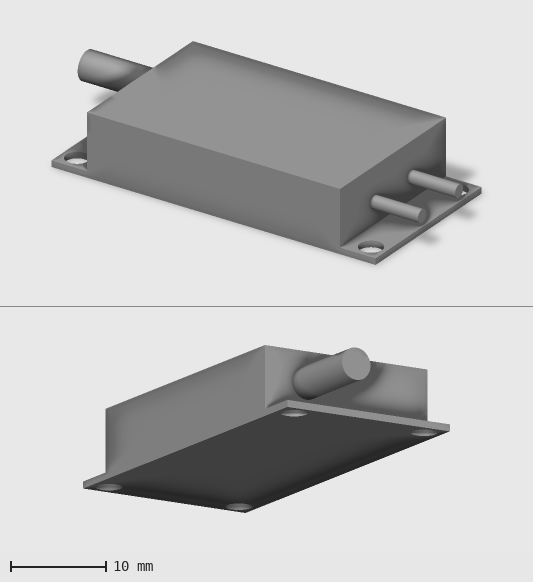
import cadquery as cq

plate_length = 41.0
width = 20.0
plate_thickness = 0.75

hole_diameter = 2.8
hole_spacing_x = 37.15
hole_spacing_y = 16.0

housing_length = 32.0
total_height = 7.7
housing_end = housing_length / 2

overall_length = 48.0
sleeve_length = 10.0
sleeve_diameter = 3.5
sleeve_y = 4.9
sleeve_z = 4.2

pin_length = overall_length - housing_length - sleeve_length
pin_diameter = 1.55
pin_spacing = 7.0
pin_z = 3.45


def rod(start_x, length, diameter, y, z):
    """Round rod running along +X from start_x."""
    section = cq.Workplane("YZ", origin=(start_x, y, z)).circle(diameter / 2)
    return section.extrude(length)


plate = (
    cq.Workplane("XY")
    .rect(plate_length, width)
    .extrude(plate_thickness)
    .faces(">Z")
    .workplane()
    .rect(hole_spacing_x, hole_spacing_y, forConstruction=True)
    .vertices()
    .hole(hole_diameter)
)

housing = cq.Workplane("XY").rect(housing_length, width).extrude(total_height)

sleeve = rod(-housing_end - sleeve_length, sleeve_length, sleeve_diameter, sleeve_y, sleeve_z)

result = plate.union(housing).union(sleeve)
for pin_y in (-pin_spacing / 2, pin_spacing / 2):
    result = result.union(rod(housing_end, pin_length, pin_diameter, pin_y, pin_z))